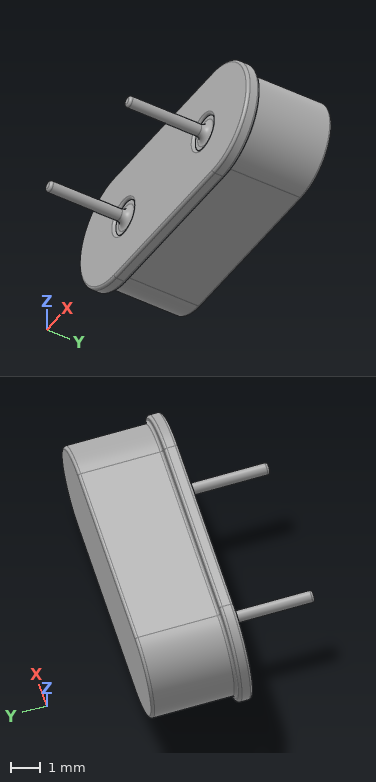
import cadquery as cq


base_length = 10.8
base_width = 4.5
base_thickness = 0.5

can_length = 10.3
can_width = 3.8
can_top = 3.5

lead_spacing = 5.08
lead_radius = 0.22
lead_reach = 3.0
recess_floor_radius = 0.65
recess_depth = 0.1
lead_root_fillet = 0.28

edge_fillet = 0.1


def oval_prism(length, width, start, end):
    """Solid with a straight-sided, round-ended outline, spanning start to end along Y."""
    return (
        cq.Workplane("XZ", origin=(0, start, 0))
        .slot2D(length, width)
        .extrude(start - end)
    )


def make_base():
    base = oval_prism(base_length, base_width, 0, base_thickness)
    return base.faces("<Y or >Y").edges().fillet(edge_fillet)


def make_can():
    can = oval_prism(can_length, can_width, base_thickness / 2, can_top)
    return can.faces(">Y").edges().fillet(edge_fillet)


def make_package():
    """Base and can joined, with a concave fillet along the seam between them."""
    package = make_base().union(make_can())
    seam_margin = edge_fillet / 2
    seam_box = cq.selectors.BoxSelector(
        (-can_length, base_thickness - seam_margin, -can_width),
        (can_length, base_thickness + seam_margin, can_width),
    )
    return package.edges(seam_box).fillet(edge_fillet)


def make_recess(x):
    """Shallow round recess whose rim is rounded over its full depth."""
    profile = (
        cq.Workplane("XY", origin=(x, 0, 0))
        .lineTo(recess_floor_radius + recess_depth, 0)
        .radiusArc((recess_floor_radius, recess_depth), recess_depth)
        .lineTo(0, recess_depth)
        .close()
    )
    return profile.revolve(360, (0, 0, 0), (0, 1, 0))


def make_lead(x):
    """Round lead with a rounded tip and a concave flare at its root."""
    root_end = recess_depth - lead_root_fillet
    tip_start = edge_fillet - lead_reach
    root_radius = lead_radius + lead_root_fillet
    embedded_end = base_thickness / 2
    profile = (
        cq.Workplane("XY", origin=(x, 0, 0))
        .moveTo(0, embedded_end)
        .lineTo(root_radius, embedded_end)
        .lineTo(root_radius, recess_depth)
        .radiusArc((lead_radius, root_end), -lead_root_fillet)
        .lineTo(lead_radius, tip_start)
        .radiusArc((lead_radius - edge_fillet, -lead_reach), edge_fillet)
        .lineTo(0, -lead_reach)
        .close()
    )
    return profile.revolve(360, (0, 0, 0), (0, 1, 0))


result = make_package()
for lead_x in (-lead_spacing / 2, lead_spacing / 2):
    result = result.cut(make_recess(lead_x)).union(make_lead(lead_x))